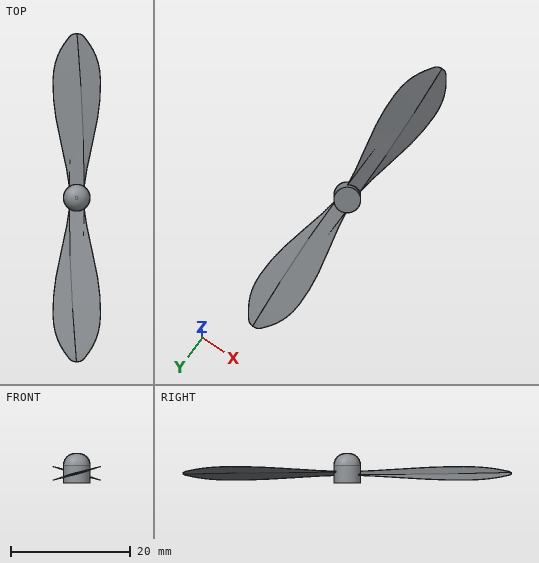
import cadquery as cq
import math

hub_diameter = 4.5
hub_height = 5.0
hub_dome_radius = 2.0

blade_count = 2
blade_pitch = 16.0
blade_thickness = 0.3
blade_axis_height = 1.65
propeller_diameter = 55.0
propeller_width = 8.02

tip_distance = propeller_diameter / 2
root_distance = 1.2
root_half_chord = 1.25
shank_distance = 9.3
shank_half_chord = 2.8
widest_distance = 19.2
widest_half_chord = propeller_width / 2 / math.cos(math.radians(blade_pitch))
shoulder_distance = 25.2
shoulder_half_chord = 2.6
nose_distance = 26.7
nose_half_chord = 1.52

ridge_root_offset = 1.22
ridge_middle_distance = 14.6
ridge_middle_offset = 0.92
ridge_outer_distance = 22.5
ridge_outer_offset = 0.41


def make_hub():
    hub = cq.Workplane("XY").circle(hub_diameter / 2).extrude(hub_height)
    return hub.edges(">Z").fillet(hub_dome_radius)


def blade_edge(side):
    """Sharp blade edge from root to tip; side is -1 or +1 along X."""
    points = [
        (side * root_half_chord, -root_distance),
        (side * shank_half_chord, -shank_distance),
        (side * widest_half_chord, -widest_distance),
        (side * shoulder_half_chord, -shoulder_distance),
        (side * nose_half_chord, -nose_distance),
        (0, -tip_distance),
    ]
    along_blade = cq.Vector(0, -1, 0)
    across_tip = cq.Vector(-side, 0, 0)
    return cq.Edge.makeSpline(
        [cq.Vector(*point) for point in points],
        tangents=[None, None, along_blade, None, None, across_tip],
    )


def blade_ridge(side):
    """Ridge from root to tip: above the chord plane on side +1, below it on side -1."""
    height = side * blade_thickness / 2
    points = [
        (-side * ridge_root_offset, -root_distance, height),
        (-side * ridge_middle_offset, -ridge_middle_distance, height),
        (-side * ridge_outer_offset, -ridge_outer_distance, height),
        (0, -tip_distance, height),
    ]
    return cq.Edge.makeSpline([cq.Vector(*point) for point in points])


def root_face():
    """Four-sided face that closes the blade inside the hub."""
    half_thickness = blade_thickness / 2
    corners = [
        (-root_half_chord, -root_distance, 0),
        (-ridge_root_offset, -root_distance, half_thickness),
        (root_half_chord, -root_distance, 0),
        (ridge_root_offset, -root_distance, -half_thickness),
    ]
    outline = cq.Wire.makePolygon([cq.Vector(*corner) for corner in corners], close=True)
    return cq.Face.makeFromWires(outline)


def make_blade():
    """Blade reaching along -Y, ruled from each edge to each ridge."""
    faces = [root_face()]
    for edge_side in (-1, 1):
        for ridge_side in (-1, 1):
            face = cq.Face.makeRuledSurface(blade_edge(edge_side), blade_ridge(ridge_side))
            faces.append(face)
    blade = cq.Workplane(cq.Solid.makeSolid(cq.Shell.makeShell(faces)).fix())
    pitched = blade.rotate((0, 0, 0), (0, 1, 0), -blade_pitch)
    return pitched.translate((0, 0, blade_axis_height))


result = make_hub()
blade = make_blade()
for index in range(blade_count):
    turn = index * 360 / blade_count
    result = result.union(blade.rotate((0, 0, 0), (0, 0, 1), turn))